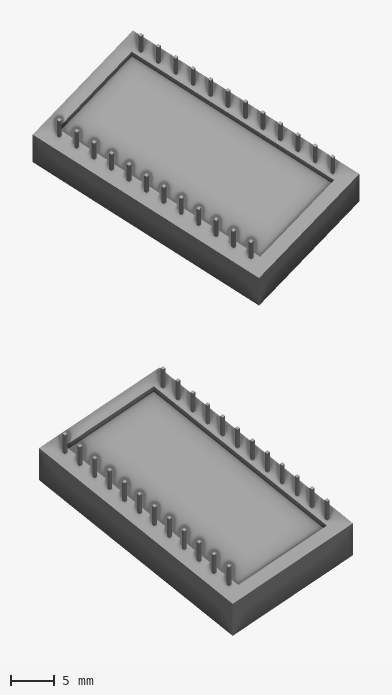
import cadquery as cq

length = 33.0
width = 18.7
total_height = 8.6
body_height = 5.4

pocket_length = 29.5
pocket_width = 13.8
pocket_depth = 0.9

pins_per_row = 12
pin_pitch = 2.55
row_spacing = 15.25
pin_side = 0.4
pin_height = total_height - body_height

body = cq.Workplane("XY").box(length, width, body_height, centered=(True, True, False))

top_plane = cq.Workplane("XY").workplane(offset=body_height)
pocket = top_plane.rect(pocket_length, pocket_width).extrude(-pocket_depth)

pins = (
    top_plane.rarray(pin_pitch, row_spacing, pins_per_row, 2)
    .rect(pin_side, pin_side)
    .extrude(pin_height)
)

result = body.cut(pocket).union(pins)